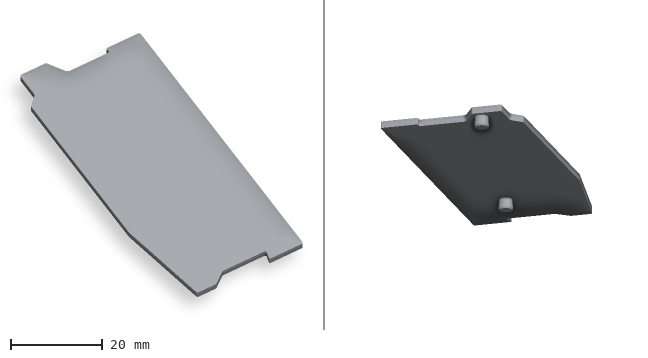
import cadquery as cq

length = 72.3
width = 31.0
plate_thickness = 1.5
total_height = 4.0

left_shoulder_x = 3.25
left_waist_x = 4.55
left_lip_outer_y = 22.35
left_lip_inner_y = 22.7
left_waist_bottom_y = 11.85
left_foot_top_y = 9.1
left_foot_bottom_y = 2.4
foot_end_x = 6.35
bottom_start_x = 8.75

right_waist_x = 69.9
right_lip_outer_y = 22.35
right_lip_inner_y = 23.0
right_waist_bottom_y = 11.85
right_foot_top_y = 8.8
right_foot_bottom_y = 4.0
bottom_end_x = 50.1

corner_radius = 0.4
lip_radius = 0.2
bend_radius = 1.1

peg_centers = [(2.4, 7.6), (57.5, 19.15)]
peg_root_diameter = 2.9
peg_tip_diameter = 3.2
peg_chamfer = 0.35
peg_length = total_height - plate_thickness


def make_plate():
    outline = [
        (left_shoulder_x, width),
        (left_shoulder_x, left_lip_outer_y),
        (left_waist_x, left_lip_inner_y),
        (left_waist_x, left_waist_bottom_y),
        (0, left_foot_top_y),
        (0, left_foot_bottom_y),
        (foot_end_x, left_foot_bottom_y),
        (bottom_start_x, 0),
        (bottom_end_x, 0),
        (length, right_foot_bottom_y),
        (length, right_foot_top_y),
        (right_waist_x, right_waist_bottom_y),
        (right_waist_x, right_lip_inner_y),
        (length, right_lip_outer_y),
        (length, width),
    ]
    return cq.Workplane("XY").polyline(outline).close().extrude(plate_thickness)


def round_corners(plate, corners, radius):
    """Fillet the upright edges of the plate at the given outline corners."""
    for x, y in corners:
        nearest = cq.selectors.NearestToPointSelector((x, y, plate_thickness / 2))
        plate = plate.edges("|Z").edges(nearest).fillet(radius)
    return plate


def make_peg(center):
    root_radius = peg_root_diameter / 2
    tip_radius = peg_tip_diameter / 2
    profile = [
        (0, plate_thickness / 2),
        (root_radius, plate_thickness / 2),
        (root_radius, 0),
        (tip_radius, peg_chamfer - peg_length),
        (tip_radius - peg_chamfer / 2, -peg_length),
        (0, -peg_length),
    ]
    peg = cq.Workplane("XZ").polyline(profile).close().revolve(360, (0, 0), (0, 1))
    return peg.translate((center[0], center[1], 0))


outer_corners = [
    (left_shoulder_x, width),
    (0, left_foot_top_y),
    (0, left_foot_bottom_y),
    (length, right_foot_bottom_y),
    (length, width),
    (left_waist_x, left_lip_inner_y),
    (right_waist_x, right_lip_inner_y),
]
lip_corners = [
    (left_shoulder_x, left_lip_outer_y),
    (length, right_lip_outer_y),
]
bend_corners = [
    (left_waist_x, left_waist_bottom_y),
    (foot_end_x, left_foot_bottom_y),
    (right_waist_x, right_waist_bottom_y),
    (length, right_foot_top_y),
]

result = make_plate()
result = round_corners(result, outer_corners, corner_radius)
result = round_corners(result, lip_corners, lip_radius)
result = round_corners(result, bend_corners, bend_radius)
for peg_center in peg_centers:
    result = result.union(make_peg(peg_center))